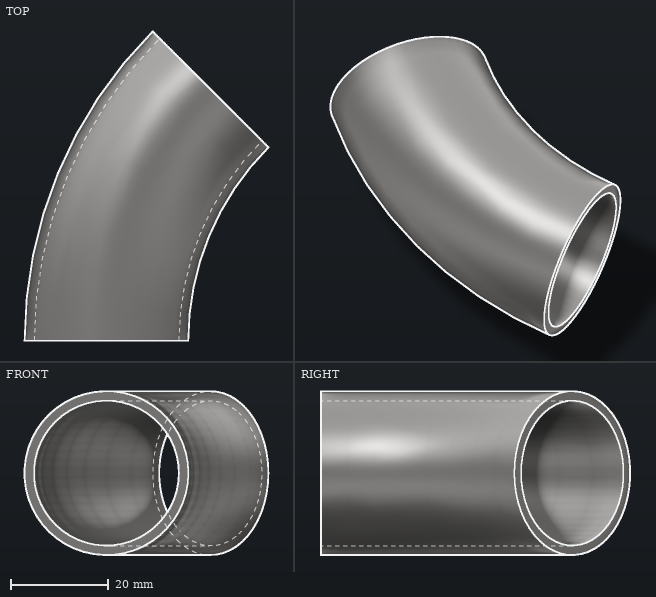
import cadquery as cq
import math

overall_length = 63.5
outer_diameter = 33.7
wall_thickness = 2.0
bend_angle = 45.0

outer_radius = outer_diameter / 2
inner_radius = outer_radius - wall_thickness

bend_radius = overall_length / math.sin(math.radians(bend_angle)) - outer_radius

pipe_section = cq.Workplane("XZ").circle(outer_radius).circle(inner_radius)

axis_start = (bend_radius, 0)
axis_end = (bend_radius, -1)
result = pipe_section.revolve(bend_angle, axis_start, axis_end)